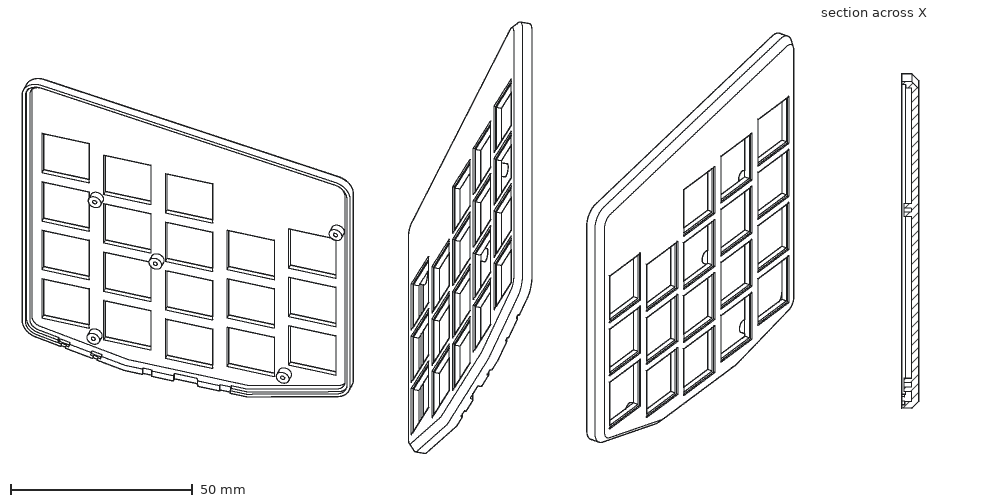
import cadquery as cq
import math

WIDTH = 95.6
DEPTH = 4.7
PLATE_THICKNESS = 2.0
BACK_CHAMFER = 1.9
CORNER_RADIUS = 5.0
PLATE_FRONT_Y = DEPTH - PLATE_THICKNESS

LEFT_TOP_Z = 94.6
RIGHT_TOP_Z = 81.45
LEFT_BOTTOM_Z = 5.8
RIGHT_BOTTOM_Z = 7.9
BOTTOM_START_X = 29.7
BOTTOM_END_X = 65.6

LIP_WIDTH = 1.0
RIM_WIDTH = 1.9
LEDGE_Y = 1.05

RAISED_START_X = 10.4
RAISED_END_X = 60.6
RUNOUT_START_X = 50.3
RUNOUT_LENGTH = 1.3
RAISED_TOP_Z = 19.1
SHALLOW_NOTCH_DEPTH = 0.5
NOTCHES = [
    (35.1, 37.8, SHALLOW_NOTCH_DEPTH),
    (44.1, RUNOUT_START_X, LEDGE_Y),
    (57.55, RAISED_END_X, SHALLOW_NOTCH_DEPTH),
]

SLOT_XS = [11.95, 21.2]
SLOT_WIDE = 3.0
SLOT_NARROW = 1.3
SLOT_WIDE_DEPTH = 0.8
SLOT_NARROW_DEPTH = 0.4

KEY_SIZE = 13.8
SEAT_SIZE = 15.0
SEAT_DEPTH = 0.5
KEY_PITCH_X = 18.0
KEY_PITCH_Z = 17.0
FIRST_KEY_X = 11.8
KEY_COLUMNS = [(16.8, 4), (13.9, 4), (12.0, 4), (13.9, 3), (19.0, 3)]

BOSS_DIAMETER = 3.7
BOSS_HOLE_DIAMETER = 1.1
BOSS_HEIGHT = 2.1
BOSS_CENTRES = [(20.9, 56.4), (38.6, 39.4), (20.6, 8.3), (75.7, 9.0), (91.1, 63.1)]


def prism(sketch, front_y, back_y):
    """Extrude a sketch lying in the X-Z plane from front_y to back_y."""
    return sketch.extrude(front_y - back_y).translate((0, front_y, 0))


def box(x_min, x_max, front_y, back_y, z_min, z_max):
    size = (x_max - x_min, back_y - front_y, z_max - z_min)
    return cq.Workplane().box(*size, centered=False).translate((x_min, front_y, z_min))


def outline_prism(inset, front_y, back_y):
    """Prism of the rounded outline, moved inwards by inset."""
    corners = [
        (0, LEFT_BOTTOM_Z),
        (0, LEFT_TOP_Z),
        (WIDTH, RIGHT_TOP_Z),
        (WIDTH, RIGHT_BOTTOM_Z),
        (BOTTOM_END_X, 0),
        (BOTTOM_START_X, 0),
    ]
    sketch = cq.Workplane("XZ").polyline(corners).close()
    if inset:
        sketch = sketch.offset2D(-inset)
    solid = prism(sketch, front_y, back_y)
    side_corners = solid.edges("|Y and (<X or >X)")
    return side_corners.fillet(CORNER_RADIUS - inset)


def tray():
    body = outline_prism(0, 0, DEPTH).faces(">Y").chamfer(BACK_CHAMFER)
    body = body.cut(outline_prism(RIM_WIDTH, 0, PLATE_FRONT_Y))
    return body.cut(outline_prism(LIP_WIDTH, 0, LEDGE_Y))


def raised_bottom():
    """Fill of the ledge along the bottom wall."""
    band = outline_prism(0, 0, LEDGE_Y).cut(outline_prism(RIM_WIDTH, 0, LEDGE_Y))
    reach = box(RAISED_START_X, RAISED_END_X, 0, LEDGE_Y, 0, RAISED_TOP_Z)
    return band.intersect(reach)


def notch(x_min, x_max, depth):
    return box(x_min, x_max, 0, depth, 0, RIM_WIDTH)


def notch_runout():
    """S-shaped run-out made of two equal arcs that are level at its ends."""
    half_length = RUNOUT_LENGTH / 2
    half_rise = LEDGE_Y / 2
    radius = (half_length**2 + half_rise**2) / (2 * half_rise)
    profile = (
        cq.Workplane("XY")
        .moveTo(RUNOUT_START_X, 0)
        .lineTo(RUNOUT_START_X, LEDGE_Y)
        .radiusArc((RUNOUT_START_X + half_length, half_rise), radius)
        .radiusArc((RUNOUT_START_X + RUNOUT_LENGTH, 0), -radius)
        .close()
    )
    return profile.extrude(RIM_WIDTH)


def slot(x):
    """T-shaped slot square to the sloping wall that starts at the left side."""
    angle = math.degrees(math.atan2(LEFT_BOTTOM_Z, BOTTOM_START_X))
    z = LEFT_BOTTOM_Z * (1 - x / BOTTOM_START_X)
    half_narrow = SLOT_NARROW / 2
    half_wide = SLOT_WIDE / 2
    narrow = box(-half_narrow, half_narrow, 0, SLOT_NARROW_DEPTH, -LIP_WIDTH, RIM_WIDTH)
    wide = box(-half_wide, half_wide, 0, SLOT_WIDE_DEPTH, LIP_WIDTH, RIM_WIDTH)
    return narrow.union(wide).rotate((0, 0, 0), (0, 1, 0), angle).translate((x, 0, z))


def key_centres():
    centres = []
    for column, (lowest_z, count) in enumerate(KEY_COLUMNS):
        x = FIRST_KEY_X + column * KEY_PITCH_X
        centres += [(x, lowest_z + row * KEY_PITCH_Z) for row in range(count)]
    return centres


def key_squares(size, front_y):
    """Square cutters at every key, from front_y out through the back face."""
    sketch = cq.Workplane("XZ").pushPoints(key_centres()).rect(size, size)
    return prism(sketch, front_y, DEPTH)


def pins(diameter, front_y, back_y):
    sketch = cq.Workplane("XZ").pushPoints(BOSS_CENTRES).circle(diameter / 2)
    return prism(sketch, front_y, back_y)


result = tray().union(raised_bottom())
for span in NOTCHES:
    result = result.cut(notch(*span))
result = result.cut(notch_runout())
for slot_x in SLOT_XS:
    result = result.cut(slot(slot_x))
result = result.cut(key_squares(KEY_SIZE, PLATE_FRONT_Y))
result = result.cut(key_squares(SEAT_SIZE, DEPTH - SEAT_DEPTH))
boss_front_y = PLATE_FRONT_Y - BOSS_HEIGHT
result = result.union(pins(BOSS_DIAMETER, boss_front_y, PLATE_FRONT_Y))
result = result.cut(pins(BOSS_HOLE_DIAMETER, boss_front_y, PLATE_FRONT_Y))